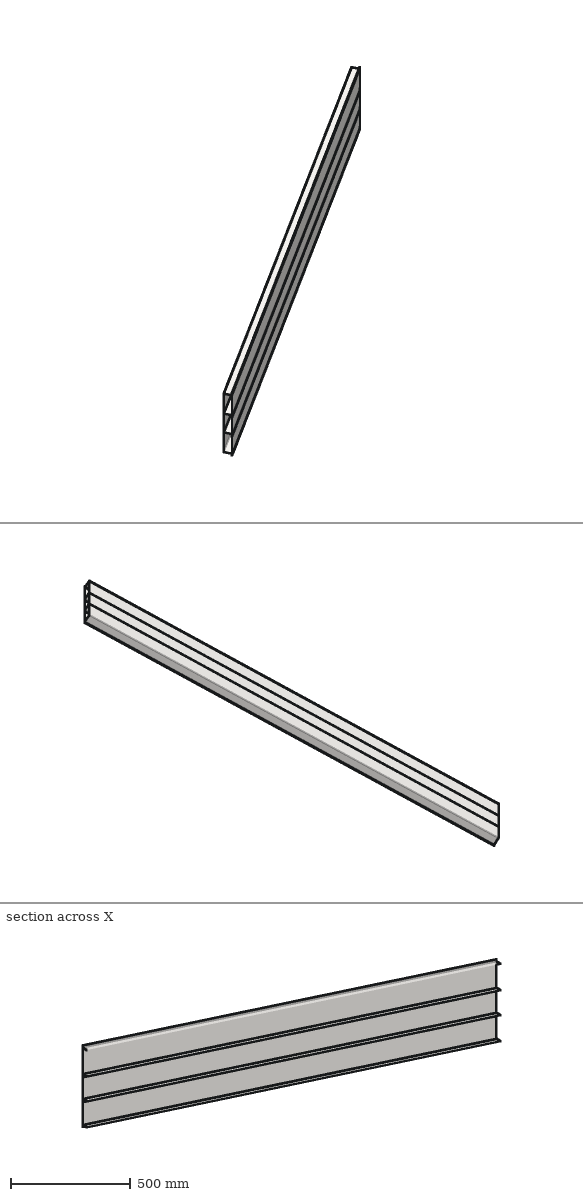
import cadquery as cq

LENGTH = 2000.0
DEPTH = 38.0
HEIGHT = 368.0

HAT_SHEET = 2.0
PLATE_SHEET = 0.8
STIFFENER_SHEET = 1.5

BEND_INNER = 0.5

HAT_HEIGHT = 350.0

STIFFENER_TOPS = (55.0, -55.0)
STIFFENER_FLANGE = 15.0

FACE_OUTER = -DEPTH / 2
FACE_INNER = FACE_OUTER + HAT_SHEET
BACK_OUTER = DEPTH / 2
BACK_INNER = BACK_OUTER - PLATE_SHEET


def extrude_along_length(outline):
    """Extrude an XZ outline over the full length, centred on Y = 0."""
    return outline.extrude(LENGTH / 2, both=True)


def make_hat():
    """Face sheet bent into a channel, with lips turned outward against the back plate."""
    half_lip = HEIGHT / 2
    half_hat = HAT_HEIGHT / 2
    half_inside = half_hat - HAT_SHEET
    lip_front = BACK_INNER - HAT_SHEET

    bend_outer = BEND_INNER + HAT_SHEET
    face_bend_x = FACE_OUTER + bend_outer
    face_bend_z = half_hat - bend_outer

    lip_bend_x = BACK_INNER - bend_outer
    lip_bend_z = half_inside + bend_outer

    outline = (
        cq.Workplane("XZ")
        .moveTo(BACK_INNER, half_lip)
        .lineTo(lip_front, half_lip)
        .lineTo(lip_front, lip_bend_z)
        .tangentArcPoint((lip_bend_x, half_hat), relative=False)
        .lineTo(face_bend_x, half_hat)
        .tangentArcPoint((FACE_OUTER, face_bend_z), relative=False)
        .lineTo(FACE_OUTER, -face_bend_z)
        .tangentArcPoint((face_bend_x, -half_hat), relative=False)
        .lineTo(lip_bend_x, -half_hat)
        .tangentArcPoint((lip_front, -lip_bend_z), relative=False)
        .lineTo(lip_front, -half_lip)
        .lineTo(BACK_INNER, -half_lip)
        .lineTo(BACK_INNER, -lip_bend_z)
        .tangentArcPoint((lip_bend_x, -half_inside), relative=False)
        .lineTo(face_bend_x, -half_inside)
        .tangentArcPoint((FACE_INNER, -face_bend_z), relative=False)
        .lineTo(FACE_INNER, face_bend_z)
        .tangentArcPoint((face_bend_x, half_inside), relative=False)
        .lineTo(lip_bend_x, half_inside)
        .tangentArcPoint((BACK_INNER, lip_bend_z), relative=False)
        .close()
    )
    return extrude_along_length(outline)


def make_back_plate():
    """Flat sheet that closes the channel."""
    outline = cq.Workplane("XZ").center(BACK_OUTER - PLATE_SHEET / 2, 0).rect(PLATE_SHEET, HEIGHT)
    return extrude_along_length(outline)


def make_stiffener(top):
    """Angle whose web spans the channel and whose flange hangs down the back plate."""
    underside = top - STIFFENER_SHEET
    flange_end = top - STIFFENER_FLANGE
    flange_front = BACK_INNER - STIFFENER_SHEET
    bend_outer = BEND_INNER + STIFFENER_SHEET
    bend_x = BACK_INNER - bend_outer
    bend_z = top - bend_outer
    outline = (
        cq.Workplane("XZ")
        .moveTo(FACE_INNER, top)
        .lineTo(bend_x, top)
        .tangentArcPoint((BACK_INNER, bend_z), relative=False)
        .lineTo(BACK_INNER, flange_end)
        .lineTo(flange_front, flange_end)
        .lineTo(flange_front, bend_z)
        .tangentArcPoint((bend_x, underside), relative=False)
        .lineTo(FACE_INNER, underside)
        .close()
    )
    return extrude_along_length(outline)


hat = make_hat()
back_plate = make_back_plate()
stiffeners = [make_stiffener(top) for top in STIFFENER_TOPS]

result = cq.Compound.makeCompound(
    [hat.val(), back_plate.val(), *[stiffener.val() for stiffener in stiffeners]]
)